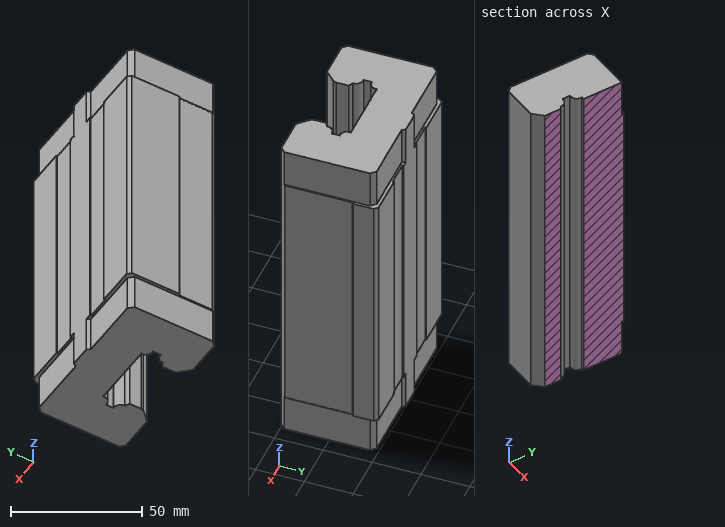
import cadquery as cq
import math

total_length = 138.2
body_length = 105.8
height = 40.5
body_half_width = 35.0
relief_half_width = 34.3
cap_half_width = 33.8

top_chamfer = 1.5
bottom_half_width = 31.85

left_step_depth = 22.75
right_step_depth = 9.75

groove_inner = 7.0
groove_outer = 17.2
groove_depth = 0.5

cap_drop = 1.4
cap_chamfer = 2.0
land_half_width_top = 4.5
land_half_width_base = 5.5

opening_depth = 19.0
opening_half_width = 13.7
pocket_half_width = 17.0
pocket_top_depth = 22.3
pocket_bottom_depth = 25.6
lip_radius = 2.9
lower_lip_end_depth = 28.7
throat_half_width = 11.8
throat_top_depth = 29.7
throat_bottom_depth = 34.9
mouth_corner_half_width = 12.2
mouth_half_width = 16.6


def bottom_chamfer_depth(side_half_width):
    """Depth where a 45 degree chamfer rising from the bottom face meets the side."""
    return height - (side_half_width - bottom_half_width)


def extrude_centred(outline, length):
    return cq.Workplane("XY").polyline(outline).close().extrude(length / 2, both=True)


def make_body():
    step = body_half_width - relief_half_width
    relief_end = -bottom_chamfer_depth(relief_half_width)
    outline = [
        (-body_half_width + top_chamfer, 0),
        (body_half_width - top_chamfer, 0),
        (body_half_width, -top_chamfer),
        (body_half_width, -right_step_depth),
        (relief_half_width, -right_step_depth - step),
        (relief_half_width, relief_end),
        (bottom_half_width, -height),
        (-bottom_half_width, -height),
        (-relief_half_width, relief_end),
        (-relief_half_width, -left_step_depth - step),
        (-body_half_width, -left_step_depth),
        (-body_half_width, -top_chamfer),
    ]
    body = extrude_centred(outline, body_length)
    groove_centre = (groove_inner + groove_outer) / 2
    grooves = (
        cq.Workplane("XY")
        .pushPoints([(-groove_centre, 0), (groove_centre, 0)])
        .rect(groove_outer - groove_inner, 2 * groove_depth)
        .extrude(body_length / 2, both=True)
    )
    return body.cut(grooves)


def make_caps():
    """Full-length bar with the body length removed, leaving the two end caps."""
    right_half = [
        (land_half_width_top, 0),
        (land_half_width_base, -cap_drop),
        (cap_half_width - cap_chamfer, -cap_drop),
        (cap_half_width, -cap_drop - cap_chamfer),
        (cap_half_width, -bottom_chamfer_depth(cap_half_width)),
        (bottom_half_width, -height),
    ]
    left_half = [(-x, y) for x, y in reversed(right_half)]
    ends = extrude_centred(right_half + left_half, total_length)
    middle = cq.Workplane("XY").box(2 * body_half_width, 2 * height, body_length)
    return ends.cut(middle)


def make_rail_opening():
    lip_centre_x = opening_half_width + lip_radius
    lip_middle_x = lip_centre_x - lip_radius * math.sqrt(0.5)
    lip_middle_rise = lip_radius * (1 - math.sqrt(0.5))
    mouth_corner_depth = height - (mouth_half_width - mouth_corner_half_width)

    half = (
        cq.Workplane("XY")
        .moveTo(0, -opening_depth)
        .lineTo(opening_half_width, -opening_depth)
        .lineTo(opening_half_width, -pocket_top_depth + lip_radius)
        .threePointArc(
            (lip_middle_x, -pocket_top_depth + lip_middle_rise),
            (lip_centre_x, -pocket_top_depth),
        )
        .lineTo(pocket_half_width, -pocket_top_depth)
        .lineTo(pocket_half_width, -pocket_bottom_depth)
        .lineTo(lip_centre_x, -pocket_bottom_depth)
        .threePointArc(
            (lip_middle_x, -pocket_bottom_depth - lip_middle_rise),
            (opening_half_width, -pocket_bottom_depth - lip_radius),
        )
        .lineTo(opening_half_width, -lower_lip_end_depth)
        .lineTo(throat_half_width, -throat_top_depth)
        .lineTo(throat_half_width, -throat_bottom_depth)
        .lineTo(mouth_corner_half_width, -mouth_corner_depth)
        .lineTo(mouth_half_width, -height)
        .lineTo(0, -height)
        .close()
        .extrude(total_length / 2, both=True)
    )
    return half.union(half.mirror("YZ"))


result = make_body().union(make_caps()).cut(make_rail_opening()).clean()